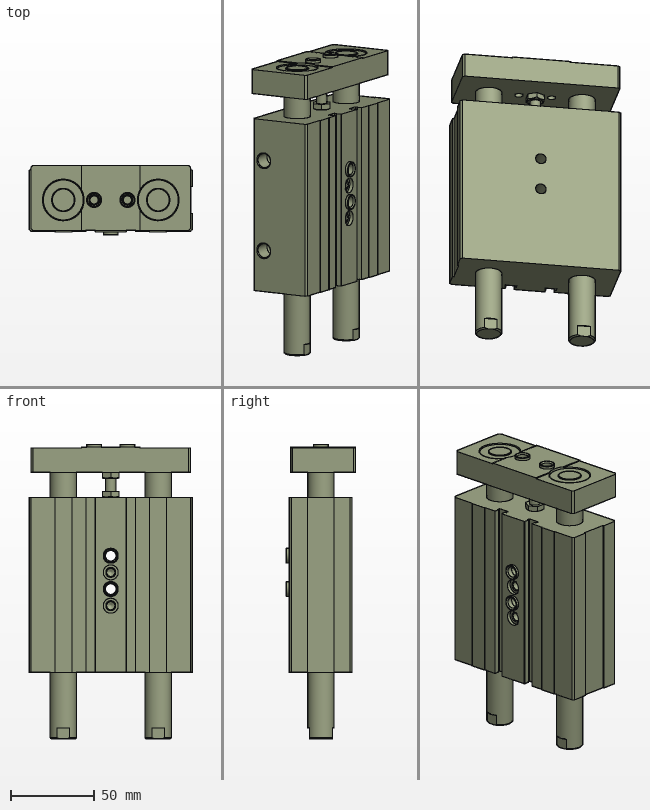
import cadquery as cq
import math

HOUSING_WIDTH = 98.0
HOUSING_HEIGHT = 105.0
HOUSING_BACK = 18.8
HOUSING_FRONT = -18.9
HOUSING_CHAMFER = 1.2
PAD_RISE = 0.4
PAD_FRONT = HOUSING_FRONT - PAD_RISE
OUTER_PAD_INNER_X = 23.2
OUTER_PAD_OUTER_X = 33.4

SLOT_X = 12.2
SLOT_MOUTH_WIDTH = 5.6
SLOT_MOUTH_CHAMFER = 0.25
SLOT_MOUTH_DEPTH = 3.5
SLOT_INNER_WIDTH = 7.0
SLOT_DEPTH = 5.2

SIDE_GROOVE_WIDTH = 16.0
SIDE_GROOVE_DEPTH = 0.8

PORT_HEIGHTS = (25.0, 80.0)
PORT_Y = 11.1
PORT_DIAMETER = 8.57
PORT_MOUTH_DIAMETER = 9.7
PORT_DEPTH = 11.0
DRILL_POINT_ANGLE = 118.0

ROD_WALL_DIAMETER = 32.0
ROD_WALL_BOTTOM = 27.0
ROD_WALL_LENGTH = 8.0

SLEEVE_DIAMETER = 9.0
SLEEVE_BORE = 6.4
SLEEVE_PROUD = 1.7
SLEEVE_SEAT = 2.3
SLEEVE_RIM_CHAMFER = 0.2
SLEEVE_MOUTH_DIAMETER = 8.0
PLATE_SLEEVE_X = 10.0
FRONT_SLEEVE_HEIGHTS = (50.0, 70.0)
FRONT_BLIND_HEIGHTS = (40.0, 60.0)
THROUGH_HOLE_DIAMETER = 6.4
THREAD_DIAMETER = 4.92
THREAD_MOUTH_DIAMETER = 6.0
BLIND_DEPTH = 8.0

PLATE_WIDTH = 96.0
PLATE_BACK = 20.8
PLATE_FRONT = -18.2
PLATE_THICKNESS = 15.2
PLATE_GAP = 15.0
PLATE_CHAMFER = 1.2
PLATE_BOTTOM = HOUSING_HEIGHT + PLATE_GAP
PLATE_TOP = PLATE_BOTTOM + PLATE_THICKNESS
PLATE_PAD_WIDTH = 35.4
PLATE_PAD_RISE = 0.5
PLATE_LOW_TOP = PLATE_TOP - PLATE_PAD_RISE

ROD_X = 28.5
ROD_DIAMETER = 16.0
ROD_BELOW = 40.0
ROD_CHAMFER = 0.8
ROD_FLATS = 14.0
ROD_FLATS_LENGTH = 6.7
HEAD_RECESS_DIAMETER = 25.0
HEAD_DIAMETER = 24.0
HEAD_THICKNESS = 4.0
HEAD_SINK = 0.6
ROD_END_DIAMETER = 14.0
ROD_END_RISE = 0.5
ROD_END_CHAMFER = 0.45

PISTON_ROD_DIAMETER = 6.4
NUT_WIDTH = 10.0
NUT_THICKNESS = 3.6
NUT_FACE_DIAMETER = 9.0
NUT_CHAMFER_ANGLE = 30.0


def box(x_min, x_max, y_min, y_max, z_min, z_max):
    """Box between two limits on each axis."""
    return (
        cq.Workplane("XY")
        .box(x_max - x_min, y_max - y_min, z_max - z_min, centered=False)
        .translate((x_min, y_min, z_min))
    )


def cylinder(diameter, length, start, direction):
    """Cylinder of a given length from a start point along a direction."""
    return cq.Workplane(cq.Solid.makeCylinder(diameter / 2, length, cq.Vector(*start), cq.Vector(*direction)))


def cone(start_diameter, end_diameter, length, start, direction):
    """Cone or frustum of a given length from a start point along a direction."""
    solid = cq.Solid.makeCone(
        start_diameter / 2, end_diameter / 2, length, cq.Vector(*start), cq.Vector(*direction)
    )
    return cq.Workplane(solid)


def drill_point_length(diameter):
    """Length of the cone that a drill leaves at the end of a blind hole."""
    return diameter / 2 / math.tan(math.radians(DRILL_POINT_ANGLE / 2))


def make_t_slot(side):
    """T-slot cutter: half its section, from the pad face inwards, mirrored about the slot's middle."""
    half_mouth = SLOT_MOUTH_WIDTH / 2
    half_inner = SLOT_INNER_WIDTH / 2
    half_section = [
        (0, 0),
        (half_mouth + SLOT_MOUTH_CHAMFER, 0),
        (half_mouth, SLOT_MOUTH_CHAMFER),
        (half_mouth, SLOT_MOUTH_DEPTH),
        (half_inner, SLOT_MOUTH_DEPTH),
        (half_inner, SLOT_DEPTH),
        (0, SLOT_DEPTH),
    ]
    half_slot = cq.Workplane("XY").polyline(half_section).close().extrude(HOUSING_HEIGHT)
    slot = half_slot.union(half_slot.mirror("YZ"))
    return slot.translate((side * SLOT_X, PAD_FRONT, 0))


def make_port(height):
    """Cutter for an air port in the -X face: countersunk mouth, bore and drill point."""
    mouth_depth = (PORT_MOUTH_DIAMETER - PORT_DIAMETER) / 2
    face_x = -HOUSING_WIDTH / 2
    inward = (1, 0, 0)
    bore = cylinder(PORT_DIAMETER, PORT_DEPTH, (face_x, PORT_Y, height), inward)
    mouth = cone(PORT_MOUTH_DIAMETER, PORT_DIAMETER, mouth_depth, (face_x, PORT_Y, height), inward)
    point = cone(PORT_DIAMETER, 0, drill_point_length(PORT_DIAMETER),
                 (face_x + PORT_DEPTH, PORT_Y, height), inward)
    return bore.union(mouth).union(point)


def make_threaded_hole(start, direction, depth):
    """Core hole of a thread with a countersunk mouth."""
    mouth_depth = (THREAD_MOUTH_DIAMETER - THREAD_DIAMETER) / 2
    core = cylinder(THREAD_DIAMETER, depth, start, direction)
    return core.union(cone(THREAD_MOUTH_DIAMETER, THREAD_DIAMETER, mouth_depth, start, direction))


def make_housing():
    """Cylinder housing with its slots, groove, ports, guide rod bores and sleeve seats."""
    half_width = HOUSING_WIDTH / 2
    body = box(-half_width, half_width, HOUSING_FRONT, HOUSING_BACK, 0, HOUSING_HEIGHT)
    body = body.edges("|Z").chamfer(HOUSING_CHAMFER)

    for x_min, x_max in (
        (-OUTER_PAD_OUTER_X, -OUTER_PAD_INNER_X),
        (-SLOT_X, SLOT_X),
        (OUTER_PAD_INNER_X, OUTER_PAD_OUTER_X),
    ):
        body = body.union(box(x_min, x_max, PAD_FRONT, HOUSING_FRONT, 0, HOUSING_HEIGHT))

    for side in (-1, 1):
        body = body.cut(make_t_slot(side))
        body = body.cut(cylinder(ROD_DIAMETER, HOUSING_HEIGHT, (side * ROD_X, 0, 0), (0, 0, 1)))

    body = body.cut(box(half_width - SIDE_GROOVE_DEPTH, half_width,
                        -SIDE_GROOVE_WIDTH / 2, SIDE_GROOVE_WIDTH / 2, 0, HOUSING_HEIGHT))

    rod_wall = cylinder(ROD_WALL_DIAMETER, ROD_WALL_LENGTH, (-ROD_X, 0, ROD_WALL_BOTTOM), (0, 0, 1))
    for height in PORT_HEIGHTS:
        body = body.cut(make_port(height).cut(rod_wall))

    inward = (0, 1, 0)
    through_length = HOUSING_BACK - PAD_FRONT
    for height in FRONT_SLEEVE_HEIGHTS + FRONT_BLIND_HEIGHTS:
        body = body.cut(cylinder(SLEEVE_DIAMETER, SLEEVE_SEAT, (0, PAD_FRONT, height), inward))
    for height in FRONT_SLEEVE_HEIGHTS:
        body = body.cut(cylinder(THROUGH_HOLE_DIAMETER, through_length, (0, PAD_FRONT, height), inward))
    for height in FRONT_BLIND_HEIGHTS:
        body = body.cut(make_threaded_hole((0, PAD_FRONT + SLEEVE_SEAT, height), inward, BLIND_DEPTH))
        body = body.cut(cone(THREAD_DIAMETER, 0, drill_point_length(THREAD_DIAMETER),
                             (0, PAD_FRONT + SLEEVE_SEAT + BLIND_DEPTH, height), inward))
    return body


def make_nut(bottom):
    """Hexagon nut with two of its sides facing -X and +X, chamfered at its lower end."""
    across_corners = NUT_WIDTH / math.cos(math.pi / 6)
    hexagon = (
        cq.Workplane("XY").polygon(6, across_corners).extrude(NUT_THICKNESS)
        .rotate((0, 0, 0), (0, 0, 1), 30)
    )
    cone_growth = 2 * NUT_THICKNESS / math.tan(math.radians(NUT_CHAMFER_ANGLE))
    cone_top = NUT_FACE_DIAMETER + cone_growth
    chamfer_cone = cone(NUT_FACE_DIAMETER, cone_top, NUT_THICKNESS, (0, 0, 0), (0, 0, 1))
    return hexagon.intersect(chamfer_cone).translate((0, 0, bottom))


def make_plate():
    """End plate, together with the piston rod and nuts under it."""
    half_width = PLATE_WIDTH / 2
    plate = box(-half_width, half_width, PLATE_FRONT, PLATE_BACK, PLATE_BOTTOM, PLATE_LOW_TOP)
    plate = plate.edges("|Z").chamfer(PLATE_CHAMFER)
    plate = plate.union(box(-PLATE_PAD_WIDTH / 2, PLATE_PAD_WIDTH / 2,
                            PLATE_FRONT, PLATE_BACK, PLATE_LOW_TOP, PLATE_TOP))

    head_bottom = PLATE_LOW_TOP - HEAD_SINK - HEAD_THICKNESS
    recess_depth = PLATE_TOP - head_bottom
    for side in (-1, 1):
        x = side * ROD_X
        plate = plate.cut(cylinder(ROD_DIAMETER, PLATE_THICKNESS, (x, 0, PLATE_BOTTOM), (0, 0, 1)))
        plate = plate.cut(cylinder(HEAD_RECESS_DIAMETER, recess_depth, (x, 0, head_bottom), (0, 0, 1)))
        x = side * PLATE_SLEEVE_X
        plate = plate.cut(cylinder(SLEEVE_DIAMETER, SLEEVE_SEAT, (x, 0, PLATE_TOP), (0, 0, -1)))
        plate = plate.cut(make_threaded_hole((x, 0, PLATE_TOP - SLEEVE_SEAT), (0, 0, -1), PLATE_THICKNESS))

    plate = plate.union(cylinder(PISTON_ROD_DIAMETER, PLATE_GAP, (0, 0, HOUSING_HEIGHT), (0, 0, 1)))
    plate = plate.union(make_nut(PLATE_BOTTOM - NUT_THICKNESS))
    return plate.union(make_nut(HOUSING_HEIGHT))


def make_guide_rod(side):
    """Guide rod with flats at its lower end and a head sunk in the plate."""
    head_top = PLATE_LOW_TOP - HEAD_SINK
    rod = cylinder(ROD_DIAMETER, ROD_BELOW + head_top, (0, 0, -ROD_BELOW), (0, 0, 1))
    rod = rod.faces("<Z").chamfer(ROD_CHAMFER)
    for flat_side in (-1, 1):
        y_inner = flat_side * ROD_FLATS / 2
        y_outer = flat_side * ROD_DIAMETER / 2
        rod = rod.cut(box(-ROD_DIAMETER / 2, ROD_DIAMETER / 2, min(y_inner, y_outer), max(y_inner, y_outer),
                          -ROD_BELOW, -ROD_BELOW + ROD_FLATS_LENGTH))
    rod = rod.union(cylinder(HEAD_DIAMETER, HEAD_THICKNESS, (0, 0, head_top), (0, 0, -1)))
    end = cylinder(ROD_END_DIAMETER, ROD_END_RISE, (0, 0, head_top), (0, 0, 1))
    end = end.faces(">Z").chamfer(ROD_END_CHAMFER)
    return rod.union(end).translate((side * ROD_X, 0, 0))


def make_sleeve():
    """Centring sleeve along Z, with its seated end at the origin."""
    length = SLEEVE_SEAT + SLEEVE_PROUD
    mouth_depth = (SLEEVE_MOUTH_DIAMETER - SLEEVE_BORE) / 2
    sleeve = cylinder(SLEEVE_DIAMETER, length, (0, 0, 0), (0, 0, 1))
    sleeve = sleeve.faces(">Z").chamfer(SLEEVE_RIM_CHAMFER)
    sleeve = sleeve.cut(cylinder(SLEEVE_BORE, length, (0, 0, 0), (0, 0, 1)))
    return sleeve.cut(cone(SLEEVE_MOUTH_DIAMETER, SLEEVE_BORE, mouth_depth, (0, 0, length), (0, 0, -1)))


housing = make_housing()
plate = make_plate()
guide_rods = [make_guide_rod(side) for side in (-1, 1)]
plate_sleeves = [
    make_sleeve().translate((side * PLATE_SLEEVE_X, 0, PLATE_TOP - SLEEVE_SEAT)) for side in (-1, 1)
]
front_sleeves = [
    make_sleeve().rotate((0, 0, 0), (1, 0, 0), 90).translate((0, PAD_FRONT + SLEEVE_SEAT, height))
    for height in FRONT_SLEEVE_HEIGHTS
]

bodies = [housing, plate] + guide_rods + plate_sleeves + front_sleeves
result = cq.Compound.makeCompound([body.val() for body in bodies])